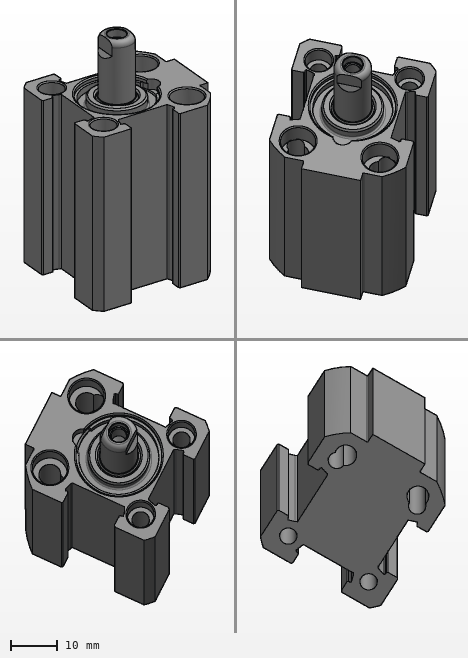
import cadquery as cq
import math


total_height = 56.5
body_height = 42.0
body_width = 30.0
total_depth = 34.0
half_width = body_width / 2
corner_radius = 20.0

shoulder_y = 16.9
rail_half_width = 6.5
rail_y = total_depth - half_width
rail_foot_round = 0.2

slot_mouth_half = 6.05
slot_undercut_half = 6.9
slot_floor_half = 6.2
slot_floor = 10.0
slot_slope_start = 10.45
slot_undercut = 11.9
slot_lip = 12.15
mouth_bevel = 0.3
lip_bevel = 0.2

bolt_offset = 10.0
bolt_diameter = 3.7
front_bore_diameter = 5.75
front_bore_depth = 3.75
back_hole_x = 9.0
back_hole_y = 12.0
back_hole_diameter = 4.65
back_bore_diameter = 7.5
back_bore_depth = 4.5
bore_bevel = 0.3

bore_diameter = 18.3
mouth_diameter = 19.0
seat_diameter = 17.9
mouth_bevel_height = 0.3
seat_bevel_height = (mouth_diameter - seat_diameter) / 2
ring_inner_diameter = 17.05
ring_thickness = 1.5
ring_top = body_height - 1.0
ring_bottom = ring_top - ring_thickness
ring_gap_half_angle = 20.5
relief_diameter = 4.1
relief_y = 8.7

cover_bottom = 33.9
cover_top = ring_bottom
boss_top = body_height - 0.2
boss_diameter = 13.2
boss_bevel = 0.4
boss_base_round = 0.4
seal_pocket_diameter = 9.2
seal_pocket_bevel = 0.4

seal_bottom = 38.4
seal_top = boss_top - 0.2
seal_lip_diameter = 8.4
seal_lip_height = 0.55

rod_bottom = 28.25
rod_diameter = 8.0
rod_radius = rod_diameter / 2
rod_round = 1.35
flat_half = 3.0
flat_length = 3.5
tap_diameter = 4.25
tap_mouth_diameter = 4.5
tap_depth = 1.9
tap_ledge_diameter = 3.7
pilot_diameter = 3.2
pilot_depth = 6.8
drill_angle = 118


def disc(diameter, bottom, top, x=0, y=0):
    """Upright cylinder between two heights."""
    return cq.Workplane("XY", origin=(x, y, bottom)).circle(diameter / 2).extrude(top - bottom)


def cone(bottom_diameter, top_diameter, bottom, top, x=0, y=0):
    """Upright truncated cone between two heights."""
    base = cq.Vector(x, y, bottom)
    solid = cq.Solid.makeCone(bottom_diameter / 2, top_diameter / 2, top - bottom, base)
    return cq.Workplane("XY").add(solid)


def body_block():
    """Square block with corners rounded about the rod axis, and the back rail."""
    block_depth = shoulder_y + half_width
    block = cq.Workplane("XY").center(0, shoulder_y - block_depth / 2).rect(body_width, block_depth)
    body = block.extrude(body_height).intersect(disc(2 * corner_radius, 0, body_height))
    rail = cq.Workplane("XY").center(0, rail_y / 2).rect(2 * rail_half_width, rail_y)
    body = body.union(rail.extrude(body_height))
    margin = 0.05
    rail_feet = cq.selectors.BoxSelector(
        (-rail_half_width - margin, shoulder_y - margin, 0),
        (rail_half_width + margin, shoulder_y + margin, body_height),
    )
    return body.edges("|Z").edges(rail_feet).fillet(rail_foot_round)


def slot_cutter(angle):
    """Full-height T-slot of the front face, turned about the rod axis to another face."""
    right_side = [
        (slot_mouth_half + mouth_bevel, -half_width),
        (slot_mouth_half, -half_width + mouth_bevel),
        (slot_mouth_half, -slot_lip - lip_bevel),
        (slot_mouth_half + lip_bevel, -slot_lip),
        (slot_undercut_half - lip_bevel, -slot_lip),
        (slot_undercut_half, -slot_undercut),
        (slot_floor_half + lip_bevel, -slot_slope_start),
        (slot_floor_half, -slot_floor),
    ]
    left_side = [(-x, y) for x, y in reversed(right_side)]
    cutter = cq.Workplane("XY").polyline(right_side + left_side).close().extrude(body_height)
    return cutter.rotate((0, 0, 0), (0, 0, 1), angle)


def counterbored_hole(x, y, hole, bore, depth):
    """Cutter for a through hole with a bevelled counterbore at the top."""
    cutter = disc(hole, 0, body_height, x, y)
    cutter = cutter.union(disc(bore, body_height - depth, body_height, x, y))
    bevel_bottom = body_height - bore_bevel
    return cutter.union(cone(bore, bore + 2 * bore_bevel, bevel_bottom, body_height, x, y))


def cut_mounting_holes(body):
    for side in (-1, 1):
        bolt_x = side * bolt_offset
        front_hole = counterbored_hole(
            bolt_x, -bolt_offset, bolt_diameter, front_bore_diameter, front_bore_depth
        )
        back_hole = counterbored_hole(
            side * back_hole_x, back_hole_y, back_hole_diameter, back_bore_diameter, back_bore_depth
        )
        body = body.cut(front_hole).cut(back_hole)
        body = body.cut(disc(bolt_diameter, 0, body_height - back_bore_depth, bolt_x, bolt_offset))
    return body


def cut_bore(body):
    """Cover seat, ring groove, bevelled mouth, tool relief and the blind hole for the rod end."""
    body = body.cut(disc(seat_diameter, cover_bottom, ring_bottom))
    body = body.cut(cone(seat_diameter, mouth_diameter, ring_bottom - seat_bevel_height, ring_bottom))
    body = body.cut(disc(mouth_diameter, ring_bottom, ring_top))
    body = body.cut(disc(bore_diameter, ring_top, body_height))
    body = body.cut(cone(bore_diameter, mouth_diameter, body_height - mouth_bevel_height, body_height))
    body = body.cut(disc(relief_diameter, ring_bottom, body_height, 0, relief_y))
    return body.cut(disc(rod_diameter, rod_bottom, cover_bottom))


def make_housing():
    body = body_block()
    for angle in (-90, 0, 90):
        body = body.cut(slot_cutter(angle))
    return cut_bore(cut_mounting_holes(body))


def make_retaining_ring():
    """Flat ring that fills the groove, open toward +Y between two radial ends."""
    ring = disc(mouth_diameter, ring_bottom, ring_top)
    ring = ring.cut(disc(ring_inner_diameter, ring_bottom, ring_top))
    reach = mouth_diameter
    half_gap = reach * math.tan(math.radians(ring_gap_half_angle))
    wedge = cq.Workplane("XY", origin=(0, 0, ring_bottom))
    wedge = wedge.polyline([(0, 0), (half_gap, reach), (-half_gap, reach)]).close()
    return ring.cut(wedge.extrude(ring_thickness))


def make_cover():
    """Flange in the bore with a raised boss and a pocket for the rod seal."""
    cover = disc(seat_diameter, cover_bottom, cover_top)
    cover = cover.union(disc(boss_diameter, cover_top, boss_top))
    boss_edges = cover.edges(cq.selectors.RadiusNthSelector(0))
    cover = boss_edges.edges("<Z").fillet(boss_base_round)
    cover = cover.faces(">Z").edges().chamfer(boss_bevel)
    cover = cover.cut(disc(rod_diameter, cover_bottom, boss_top))
    cover = cover.cut(disc(seal_pocket_diameter, seal_bottom, boss_top))
    pocket_mouth_diameter = seal_pocket_diameter + 2 * seal_pocket_bevel
    return cover.cut(
        cone(seal_pocket_diameter, pocket_mouth_diameter, boss_top - seal_pocket_bevel, boss_top)
    )


def make_seal():
    """Ring around the rod with a tapered lip at the top."""
    lip_bottom = seal_top - seal_lip_height
    seal = disc(seal_pocket_diameter, seal_bottom, lip_bottom)
    seal = seal.union(cone(seal_pocket_diameter, seal_lip_diameter, lip_bottom, seal_top))
    return seal.cut(disc(rod_diameter, seal_bottom, seal_top))


def flat_cutter(side):
    """Cutter for one wrench flat, ending in a 45 degree slope."""
    outer = 2 * rod_radius - flat_half
    flat_bottom = total_height - flat_length
    slope_bottom = flat_bottom - (outer - flat_half)
    profile = [
        (side * flat_half, total_height),
        (side * flat_half, flat_bottom),
        (side * outer, slope_bottom),
        (side * outer, total_height),
    ]
    return cq.Workplane("YZ").polyline(profile).close().extrude(rod_radius, both=True)


def tapped_hole():
    """Cutter for the bevelled hole in the rod end, with a drilled pilot hole below it."""
    tap_bevel = (tap_mouth_diameter - tap_diameter) / 2
    ledge_z = total_height - tap_depth
    ledge_bevel = (tap_ledge_diameter - pilot_diameter) / 2
    pilot_bottom = total_height - pilot_depth
    pilot_tip = pilot_diameter / 2 / math.tan(math.radians(drill_angle / 2))
    profile = [
        (0, total_height),
        (tap_mouth_diameter / 2, total_height),
        (tap_diameter / 2, total_height - tap_bevel),
        (tap_diameter / 2, ledge_z),
        (tap_ledge_diameter / 2, ledge_z),
        (pilot_diameter / 2, ledge_z - ledge_bevel),
        (pilot_diameter / 2, pilot_bottom),
        (0, pilot_bottom - pilot_tip),
    ]
    return cq.Workplane("XZ").polyline(profile).close().revolve(360, (0, 0), (0, 1))


def make_rod():
    rod = disc(rod_diameter, rod_bottom, total_height)
    rod = rod.faces(">Z").edges().fillet(rod_round)
    for side in (-1, 1):
        rod = rod.cut(flat_cutter(side))
    return rod.cut(tapped_hole())


housing = make_housing()
cover = make_cover()
retaining_ring = make_retaining_ring()
seal = make_seal()
rod = make_rod()

result = cq.Compound.makeCompound([
    housing.val(),
    cover.val(),
    retaining_ring.val(),
    seal.val(),
    rod.val(),
])